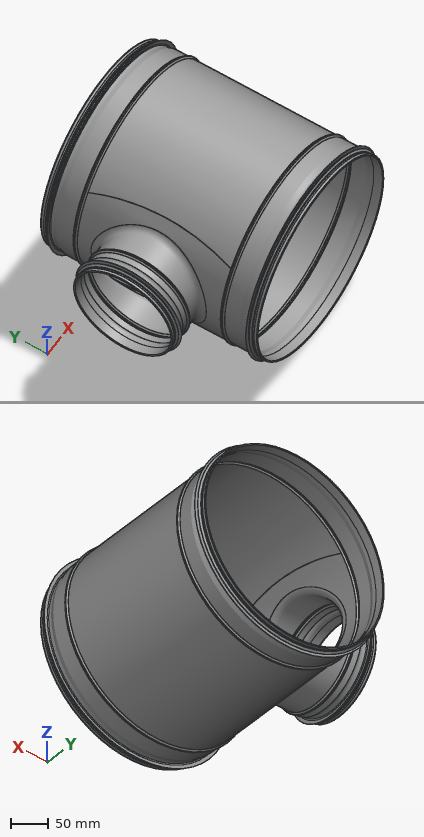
import cadquery as cq

sheet = 0.5

tube_length = 348.0
tube_radius = 313.8 / 2
tube_groove_radius = 309.0 / 2
tube_cone_end = 28.5
tube_bead_depth = 56.0

branch_end_x = -221.0
branch_radius = 159.0 / 2
branch_groove_radius = 154.0 / 2
branch_cone_end = 26.5
branch_kink_depth = 23.8
branch_kink_rise = 0.8
branch_bead_depth = 40.0

fold_end = 5.5
groove_end = 21.0
bead_half_width = 3.5
bead_crest_half_width = 0.95
bead_height = 2.3

saddle_half_length = tube_length / 2 - tube_bead_depth - bead_half_width
saddle_ellipse_y = 210.7
saddle_ellipse_z = 103.5

flare_radius = 9.2
collar_half_length = 92.5
collar_half_height = 86.0
collar_rise = 0.5

tube_front_lip_radius = 319.0 / 2
tube_rear_lip_radius = 324.0 / 2
branch_front_lip_radius = 164.5 / 2
branch_rear_lip_radius = 169.5 / 2
lip_thickness = 0.8
front_lip_root = 7.5
front_lip_lean = 3.5
rear_lip_depth = 14.5


def rim_bend_radius(radius, groove_radius):
    """Outer radius of the half-round bend that joins the groove wall to the folded rim."""
    return (radius - groove_radius + sheet) / 2


def wall_points(radius, cone, bead_depth):
    """Points (radius, depth) of the outer wall face, from the groove end to the far foot of the bead."""
    return [
        *cone,
        (radius, bead_depth - bead_half_width),
        (radius + bead_height, bead_depth - bead_crest_half_width),
        (radius + bead_height, bead_depth + bead_crest_half_width),
        (radius, bead_depth + bead_half_width),
    ]


def neck(radius, groove_radius, cone, bead_depth, length):
    """Thin-walled neck around Z: folded rim at z = 0, then seal groove, cone, bead and plain wall."""
    bend = rim_bend_radius(radius, groove_radius)
    bend_centre = radius - bend
    outer_wall = wall_points(radius, cone, bead_depth)
    inner_wall = [(point_radius - sheet, depth) for point_radius, depth in outer_wall]
    profile = (
        cq.Workplane("XZ")
        .moveTo(radius - sheet, fold_end)
        .lineTo(radius, fold_end)
        .lineTo(radius, bend)
        .threePointArc((bend_centre, 0), (groove_radius - sheet, bend))
    )
    for point in inner_wall:
        profile = profile.lineTo(*point)
    if length > bead_depth + bead_half_width:
        profile = profile.lineTo(radius - sheet, length).lineTo(radius, length)
    for point in reversed(outer_wall):
        profile = profile.lineTo(*point)
    profile = (
        profile.lineTo(groove_radius, bend)
        .threePointArc((bend_centre, sheet), (radius - sheet, bend))
        .close()
    )
    return profile.revolve(360, (0, 0, 0), (0, 1, 0))


def seal(radius, groove_radius, front_lip_radius, rear_lip_radius):
    """Rubber seal around Z: a band held under the folded rim, a leaning front lip and an upright rear lip."""
    band_start = rim_bend_radius(radius, groove_radius)
    band_radius = radius - sheet
    front_lip_tip = front_lip_root + front_lip_lean
    rear_lip_back = rear_lip_depth + lip_thickness
    profile = (
        cq.Workplane("XZ")
        .moveTo(groove_radius, band_start)
        .lineTo(band_radius, band_start)
        .lineTo(band_radius, front_lip_root)
        .lineTo(front_lip_radius, front_lip_tip)
        .lineTo(front_lip_radius, front_lip_tip + lip_thickness)
        .lineTo(band_radius, front_lip_root + 2 * lip_thickness)
        .lineTo(band_radius, rear_lip_depth)
        .lineTo(rear_lip_radius, rear_lip_depth)
        .lineTo(rear_lip_radius, rear_lip_back)
        .lineTo(groove_radius, rear_lip_back)
        .close()
    )
    return profile.revolve(360, (0, 0, 0), (0, 1, 0))


def place_at_tube_end(body):
    """Move a neck-frame body to the -Y end of the tube, with depth running toward +Y."""
    return body.rotate((0, 0, 0), (1, 0, 0), -90).translate((0, -tube_length / 2, 0))


def place_at_branch_end(body):
    """Move a neck-frame body to the branch end, with depth running toward +X."""
    return body.rotate((0, 0, 0), (0, 1, 0), 90).translate((branch_end_x, 0, 0))


def oval_prism(half_length, half_height):
    """Oval seen along X, extruded from the tube axis to the branch end."""
    return cq.Workplane("YZ").ellipse(half_length, half_height).extrude(branch_end_x)


def saddle_prism():
    """Outline of the saddle plate: an oval cut off square at the two tube beads."""
    between_beads = cq.Workplane("XZ").circle(2 * tube_radius).extrude(saddle_half_length, both=True)
    return oval_prism(saddle_ellipse_y, saddle_ellipse_z).intersect(between_beads)


def tube_core(radius):
    """Solid cylinder along the tube axis."""
    return cq.Workplane("XZ").circle(radius).extrude(tube_length / 2, both=True)


def flared_tee(main_radius, side_radius, foot_radius, side_length):
    """Solid tube core with a side cylinder toward -X, joined by a fillet at the foot."""
    side = cq.Workplane("YZ").circle(side_radius).extrude(-side_length)
    foot = cq.selectors.BoxSelector(
        (-main_radius - sheet, -side_radius - sheet, -side_radius - sheet),
        (0, side_radius + sheet, side_radius + sheet),
    )
    tee = tube_core(main_radius).union(side)
    return tee.edges(foot).edges("not %CIRCLE").edges("not %LINE").fillet(foot_radius)


def make_tube():
    cone = [(tube_groove_radius, groove_end), (tube_radius, tube_cone_end)]
    half = place_at_tube_end(
        neck(tube_radius, tube_groove_radius, cone, tube_bead_depth, tube_length / 2)
    )
    return half.union(half.mirror("XZ")).cut(saddle_prism())


def make_branch():
    neck_length = branch_bead_depth + bead_half_width
    side_length = -branch_end_x - neck_length
    plate = tube_core(tube_radius).intersect(saddle_prism())
    foot = flared_tee(tube_radius + collar_rise, branch_radius, flare_radius, side_length).intersect(
        oval_prism(collar_half_length, collar_half_height)
    )
    hollow = flared_tee(tube_radius - sheet, branch_radius - sheet, flare_radius + sheet, side_length)
    cone = [
        (branch_groove_radius, groove_end),
        (branch_groove_radius + branch_kink_rise, branch_kink_depth),
        (branch_radius, branch_cone_end),
    ]
    pipe = neck(branch_radius, branch_groove_radius, cone, branch_bead_depth, neck_length)
    return plate.union(foot).cut(hollow).union(place_at_branch_end(pipe))


def make_tube_seals():
    front = place_at_tube_end(
        seal(tube_radius, tube_groove_radius, tube_front_lip_radius, tube_rear_lip_radius)
    )
    return [front, front.mirror("XZ")]


def make_branch_seal():
    return place_at_branch_end(
        seal(branch_radius, branch_groove_radius, branch_front_lip_radius, branch_rear_lip_radius)
    )


tube = make_tube()
branch = make_branch()
tube_seals = make_tube_seals()
branch_seal = make_branch_seal()

result = cq.Compound.makeCompound(
    [tube.val(), branch.val(), *[tube_seal.val() for tube_seal in tube_seals], branch_seal.val()]
)